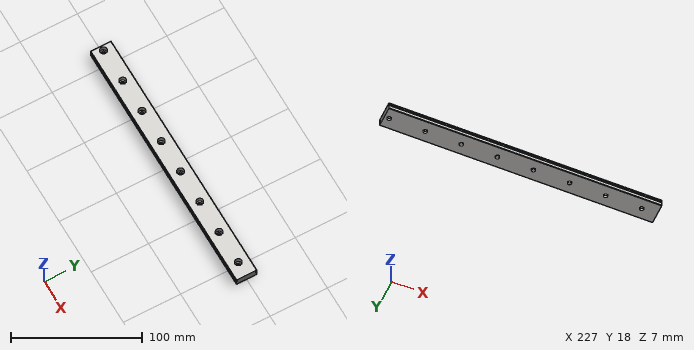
import cadquery as cq

length = 227.0
width = 18.0
height = 7.0
base_chamfer = 0.5
top_chamfer = 0.2

groove_radius = 1.0
groove_axis_offset = 0.2
groove_height = 4.8
relief_depth = 1.1
relief_height = 0.7

hole_count = 8
first_hole_offset = 4.0
last_hole_offset = 13.0
hole_pitch = (length - first_hole_offset - last_hole_offset) / (hole_count - 1)
hole_diameter = 3.5
counterbore_diameter = 6.0
counterbore_depth = 4.5


def rail_body():
    body = cq.Workplane("XY").box(length, width, height, centered=(True, True, False))
    body = body.faces("<Z").edges("|X").chamfer(base_chamfer)
    return body.faces(">Z").edges("|X").chamfer(top_chamfer)


def ball_track(side):
    """Cutter for the groove and its relief on the +Y (side=1) or -Y (side=-1) face."""
    face_y = side * width / 2
    axis_y = face_y + side * groove_axis_offset
    groove = (
        cq.Workplane("YZ", origin=(-length / 2, 0, 0))
        .center(axis_y, groove_height)
        .circle(groove_radius)
        .extrude(length)
    )
    relief = cq.Workplane("XY", origin=(0, face_y, groove_height)).box(length, 2 * relief_depth, relief_height)
    return groove.union(relief)


def drill_mounting_holes(rail):
    first_hole_x = -length / 2 + first_hole_offset
    hole_centres = [(first_hole_x + i * hole_pitch, 0) for i in range(hole_count)]
    return (
        rail.faces(">Z")
        .workplane(origin=(0, 0, height))
        .pushPoints(hole_centres)
        .cboreHole(hole_diameter, counterbore_diameter, counterbore_depth)
    )


rail = rail_body()
for side in (-1, 1):
    rail = rail.cut(ball_track(side))
result = drill_mounting_holes(rail)